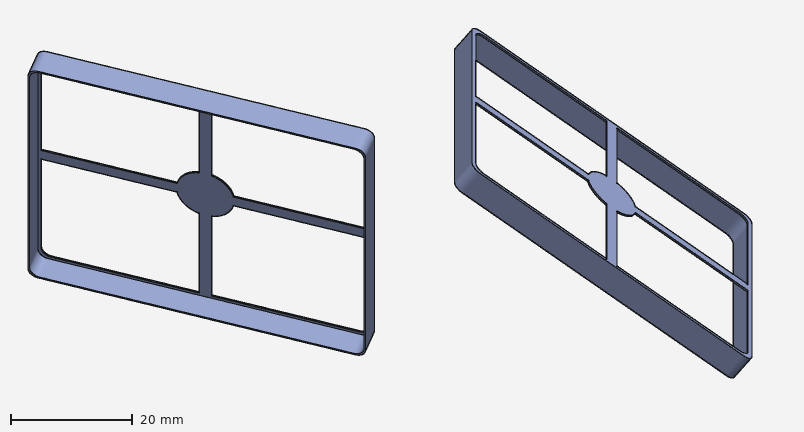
import cadquery as cq

width = 58.5
depth = 4.7
height = 49.7
corner_radius = 1.75

wall_thickness = 0.3
lip_width = 0.5
web_thickness = 0.3

spoke_width = 2.1
hub_diameter = 10.0

opening_inset = wall_thickness + lip_width
back_y = depth / 2


def back_plane():
    """XZ plane at the back face; extrusions run forward, toward -Y."""
    return cq.Workplane("XZ", origin=(0, back_y, 0))


def rounded_block(inset, length):
    """Rounded rectangle inset from the outer outline, extruded from the back face."""
    return (
        back_plane()
        .rect(width - 2 * inset, height - 2 * inset)
        .extrude(length)
        .edges("|Y")
        .fillet(corner_radius)
    )


def make_ring(inset, length):
    """Closed band between the outer outline and an inset opening."""
    outer = rounded_block(0, length)
    opening = rounded_block(inset, length)
    return outer.cut(opening)


def make_web():
    """Two crossing spokes and the round hub at their centre."""
    across = back_plane().rect(width - wall_thickness, spoke_width).extrude(web_thickness)
    upright = back_plane().rect(spoke_width, height - wall_thickness).extrude(web_thickness)
    hub = back_plane().circle(hub_diameter / 2).extrude(web_thickness)
    return across.union(upright).union(hub)


wall = make_ring(wall_thickness, depth)
lip = make_ring(opening_inset, web_thickness)
result = wall.union(lip).union(make_web())